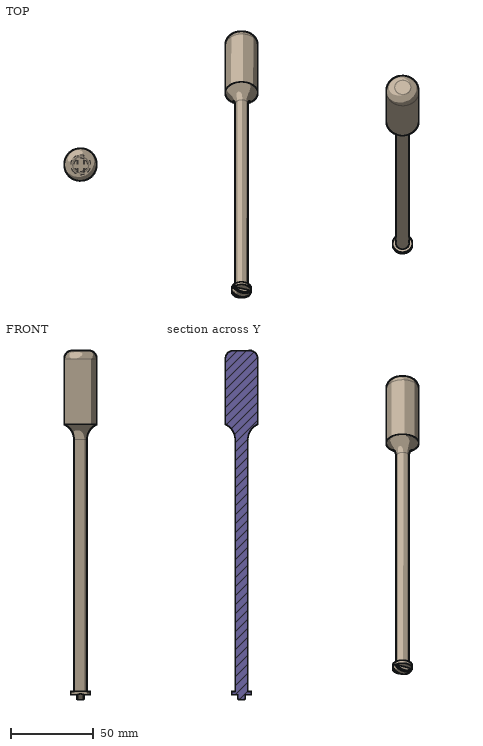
import cadquery as cq

total_length = 212.0
handle_diameter = 20.0
handle_length = 45.0
handle_top_fillet = 5.0
neck_length = 9.1
shaft_diameter = 8.0
flange_diameter = 12.0
flange_thickness = 2.1
blade_thickness = 4.7
blade_height = 3.0
blade_edge_chamfer = 0.6
blade_rim_height = 3.5

flange_top = blade_height + flange_thickness
handle_bottom = total_length - handle_length
neck_bottom = handle_bottom - neck_length

handle_radius = handle_diameter / 2
shaft_radius = shaft_diameter / 2
flange_radius = flange_diameter / 2


def make_handle():
    """Cylindrical grip with a rounded top edge."""
    handle = cq.Workplane("XY").workplane(offset=handle_bottom).circle(handle_radius).extrude(handle_length)
    return handle.faces(">Z").edges().fillet(handle_top_fillet)


def make_shaft_with_neck():
    """Flange, shaft and concave neck, revolved about Z; the neck arc leaves the shaft tangentially."""
    return (
        cq.Workplane("XZ")
        .moveTo(0, blade_height)
        .lineTo(flange_radius, blade_height)
        .lineTo(flange_radius, flange_top)
        .lineTo(shaft_radius, flange_top)
        .lineTo(shaft_radius, neck_bottom)
        .tangentArcPoint((handle_radius, handle_bottom), relative=False)
        .lineTo(0, handle_bottom)
        .close()
        .revolve(360, (0, 0, 0), (0, 1, 0))
    )


def make_blade():
    """Flat driving blade below the flange, arched across Y and chamfered along both arched edges."""
    blade_blank = (
        cq.Workplane("YZ")
        .moveTo(-flange_radius, blade_rim_height)
        .threePointArc((0, 0), (flange_radius, blade_rim_height))
        .close()
        .extrude(blade_thickness / 2, both=True)
    )
    return blade_blank.edges("%CIRCLE").chamfer(blade_edge_chamfer)


def make_flange_envelope():
    """Cylinder that keeps the blade corners inside the flange outline."""
    return cq.Workplane("XY").circle(flange_radius).extrude(flange_top)


def make_flange_slot():
    """Shallow slot along Y in the flange underside, as wide as the flat of the blade edge."""
    slot_width = blade_thickness - 2 * blade_edge_chamfer
    return cq.Workplane("XY").box(slot_width, flange_diameter, blade_rim_height, centered=(True, True, False))


blade = make_blade().intersect(make_flange_envelope())
shaft = make_shaft_with_neck().cut(make_flange_slot())
result = make_handle().union(shaft).union(blade)